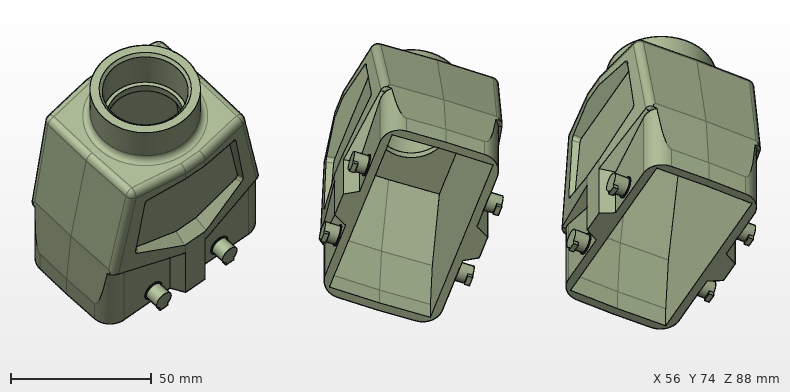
import cadquery as cq
import math

total_height = 88.0
roof_height = 72.2

skirt_half_width = 22.1
skirt_half_length = 37.0
skirt_corner_radius = 7.5

end_foot_height = 8.8
end_knee_height = 32.0
end_knee_half_length = 34.9
end_top_half_length = 27.4
end_crown_angle = 1.0

hood_half_width = 27.2
hood_flat_half_length = 4.6
hood_edge_radius = 2.9

flank_draft = 30.0
flank_rise = math.tan(math.radians(flank_draft))
flank_depth = hood_half_width - skirt_half_width

recess_start_z = 23.1
recess_slope = 0.35
recess_end_y = skirt_half_length + 17.6
recess_bottom_z = -17.6

corner_cone_z = 29.4
corner_cone_start_y = 32.5
corner_cone_margin = 3.5

pocket_bottom_z = 27.8
pocket_bottom_half_length = 5.1
pocket_shoulder_z = 36.0
pocket_shoulder_half_length = 27.6
pocket_top_z = 66.3
pocket_top_half_length = 22.5
pocket_corner_radius = 1.8

neck_radius = 19.6
neck_fillet = 2.55
bore_radius = 15.2
bore_chamfer = 1.1
passage_radius = 13.7

wall = 3.1
roof_wall = 3.2

pin_y = 15.5
pin_z = 5.5
pin_radius = 3.4
pin_tip_x = 28.0
pin_collar_radius = 4.0
pin_collar_thickness = 0.35
pin_tab_length = 1.9
pin_tab_width = 3.7
pin_tab_bottom = 1.1


def mirrored(half_outline):
    """Close a half outline, given from bottom to top at +Y, with its mirror image at -Y."""
    return half_outline + [(-y, z) for y, z in reversed(half_outline)]


def crowned_prism(half_outline):
    """Prism along X with a section symmetric in Y and ends that fall away from the YZ plane."""
    prism = cq.Workplane("YZ").polyline(mirrored(half_outline)).close().extrude(total_height, both=True)
    turned_left, turned_right = [
        prism.rotate((0, 0, 0), (0, 0, 1), angle) for angle in (end_crown_angle, -end_crown_angle)
    ]
    return turned_left.intersect(turned_right)


def end_wall_prism(inset, top):
    """Prism whose ends follow the end walls, inset by a wall thickness."""
    half_outline = [
        (skirt_half_length - inset, 0),
        (skirt_half_length - inset, end_foot_height),
        (end_knee_half_length - inset, end_knee_height),
        (end_top_half_length - inset, top),
    ]
    return crowned_prism(half_outline)


def make_hood():
    plan = [
        (skirt_half_width, -skirt_half_length),
        (hood_half_width, -hood_flat_half_length),
        (hood_half_width, hood_flat_half_length),
        (skirt_half_width, skirt_half_length),
    ]
    plan += [(-x, -y) for x, y in plan]
    prism = cq.Workplane("XY").polyline(plan).close().extrude(roof_height)
    steepness = (roof_height - end_knee_height) / (end_knee_half_length - end_top_half_length)
    wall_foot_z = end_knee_height - steepness * (skirt_half_length - end_knee_half_length)
    straight_walls = [
        (skirt_half_length, 0),
        (skirt_half_length, wall_foot_z),
        (end_top_half_length, roof_height),
    ]
    hood = prism.intersect(crowned_prism(straight_walls))
    slanted_corners = hood.edges("not(#Z or |Z or #X)")
    roof_rim = hood.faces(">Z").edges()
    rounded = slanted_corners.add(roof_rim).fillet(hood_edge_radius)
    return rounded.intersect(end_wall_prism(0, roof_height))


def lengthwise_slab(width):
    """Upright slab centred on the YZ plane, longer and taller than the hood."""
    length = 2 * (skirt_half_length + wall)
    return cq.Workplane("XY").box(width, length, total_height, centered=(True, True, False))


def make_skirt():
    upright_ends = [(skirt_half_length, 0), (skirt_half_length, end_knee_height)]
    box = lengthwise_slab(2 * skirt_half_width).intersect(crowned_prism(upright_ends))
    rounded = box.faces("<X or >X").edges("|Z").fillet(skirt_corner_radius)
    return rounded.intersect(end_wall_prism(0, roof_height))


def both_sides(solid):
    """The solid together with its copy turned half a revolution about Z."""
    return solid.union(solid.rotate((0, 0, 0), (0, 0, 1), 180))


def flank_pocket(outline, depth):
    """Pocket cut inward from the plane of the rib face, narrowing with depth."""
    rib_face = cq.Workplane("YZ", origin=(hood_half_width, 0, 0))
    return rib_face.polyline(outline).close().extrude(-depth, taper=flank_draft)


def make_corner_cone():
    """Everything under the conical underside of the hood at one skirt corner."""
    reach = skirt_corner_radius + corner_cone_margin
    outline = [
        (0, 0),
        (0, corner_cone_z - skirt_corner_radius * flank_rise),
        (reach, corner_cone_z + (reach - skirt_corner_radius) * flank_rise),
        (reach, 0),
    ]
    cone = cq.Workplane("XZ").polyline(outline).close().revolve(360, (0, 0), (0, 1))
    axis_x = skirt_half_width - skirt_corner_radius
    axis_y = skirt_half_length - skirt_corner_radius
    quadrant = cq.Workplane("XY").box(reach, reach, total_height, centered=False)
    quadrant = quadrant.translate((axis_x, corner_cone_start_y, 0))
    return cone.translate((axis_x, axis_y, 0)).intersect(quadrant)


def make_recesses():
    recess_end_z = recess_start_z + recess_slope * (recess_end_y - hood_flat_half_length)
    outline = [
        (hood_flat_half_length, recess_bottom_z),
        (hood_flat_half_length, recess_start_z),
        (recess_end_y, recess_end_z),
        (recess_end_y, recess_bottom_z),
    ]
    recess = flank_pocket(outline, flank_depth + skirt_corner_radius).union(make_corner_cone())
    return both_sides(recess.union(recess.mirror("XZ")))


def make_pockets():
    half_outline = [
        (pocket_bottom_half_length, pocket_bottom_z),
        (pocket_shoulder_half_length, pocket_shoulder_z),
        (pocket_top_half_length, pocket_top_z),
    ]
    pocket = flank_pocket(mirrored(half_outline), flank_depth)
    above_bottom = cq.selectors.BoxSelector(
        (0, -skirt_half_length, pocket_shoulder_z),
        (hood_half_width, skirt_half_length, total_height),
    )
    corners = pocket.edges("not(#X)").edges(above_bottom)
    return both_sides(corners.fillet(pocket_corner_radius))


def make_neck():
    flare = neck_radius + neck_fillet
    return (
        cq.Workplane("XZ")
        .moveTo(0, roof_height - roof_wall)
        .lineTo(flare, roof_height - roof_wall)
        .lineTo(flare, roof_height)
        .radiusArc((neck_radius, roof_height + neck_fillet), neck_fillet)
        .lineTo(neck_radius, total_height)
        .lineTo(0, total_height)
        .close()
        .revolve(360, (0, 0), (0, 1))
    )


def make_cavity():
    slab = lengthwise_slab(2 * (skirt_half_width - wall))
    return slab.intersect(end_wall_prism(wall, roof_height - roof_wall))


def make_bore():
    bottom = roof_height - 2 * roof_wall
    outline = [
        (0, bottom),
        (passage_radius, bottom),
        (passage_radius, roof_height),
        (bore_radius, roof_height),
        (bore_radius, total_height - bore_chamfer),
        (bore_radius + bore_chamfer, total_height),
        (0, total_height),
    ]
    return cq.Workplane("XZ").polyline(outline).close().revolve(360, (0, 0), (0, 1))


def make_pin(y):
    base_x = skirt_half_width - wall / 2

    def rod(radius, tip_x):
        return cq.Workplane("YZ", origin=(base_x, y, pin_z)).circle(radius).extrude(tip_x - base_x)

    tab = cq.Workplane("XY").box(
        pin_tab_length, pin_tab_width, pin_z - pin_tab_bottom, centered=(False, True, False)
    ).translate((pin_tip_x - pin_tab_length, y, pin_tab_bottom))
    collar = rod(pin_collar_radius, skirt_half_width + pin_collar_thickness)
    return rod(pin_radius, pin_tip_x).union(collar).union(tab)


pins = both_sides(make_pin(pin_y).union(make_pin(-pin_y)))
hood = make_hood().cut(make_recesses()).cut(make_pockets())
shell = hood.union(make_skirt()).union(make_neck()).cut(make_cavity()).cut(make_bore())
result = shell.union(pins)